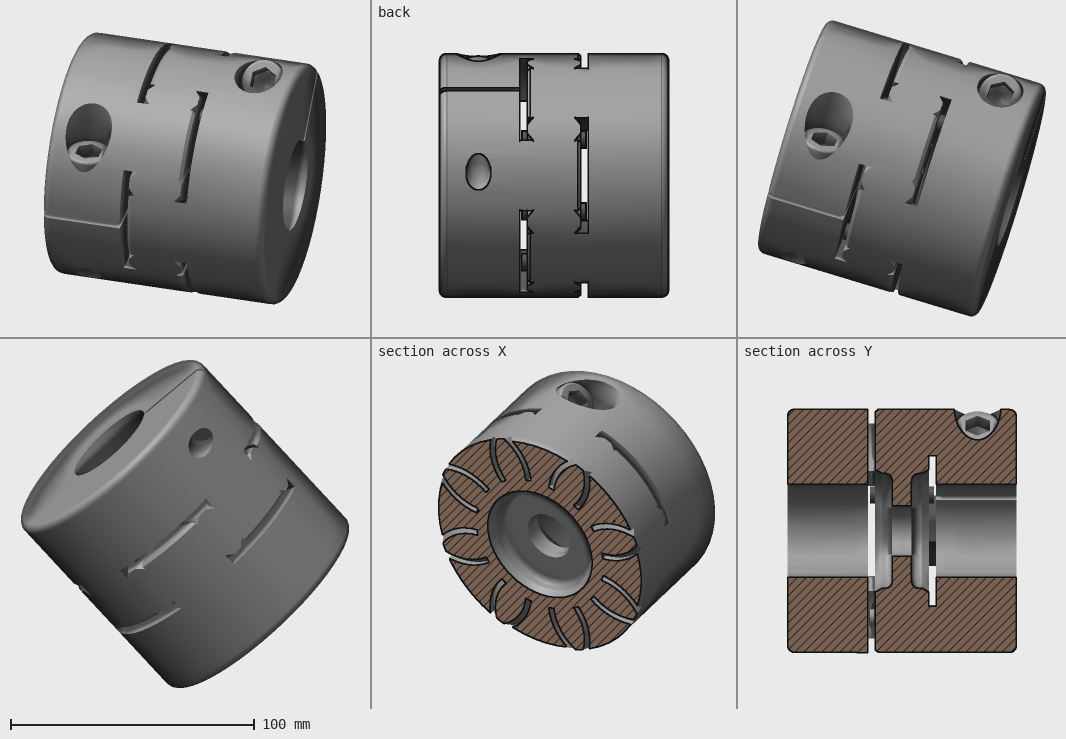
import cadquery as cq
import math


LENGTH = 94
OUTER_RADIUS = 50
HUB_BORE_DIA = 38
MIDDLE_BORE_DIA = 20.5
END_FILLET = 3

MIDDLE_HALF_WIDTH = 11
GAP_WIDTH = 3
GAP_CLEAR_RADIUS = 30.8
WINDOW_RADIUS = 24
WINDOW_PITCH_RADIUS = 40
WINDOW_COUNT = 4
NOTCH_SIZE = 2.4
RIM_CHAMFER_WIDTH = 1.3
RIM_CHAMFER_HEIGHT = 1

RECESS_DIA = 47
RECESS_DEPTH = 7
RECESS_FILLET = 3
RECESS_CHAMFER_WIDTH = 1.6
RECESS_CHAMFER_DEPTH = 2.8

PIN_DIA = 7
PIN_PITCH_RADIUS = 38.5
PIN_FIRST_ANGLE = 22.5
PIN_COUNT = 4
PIN_HEIGHT = 2.2

SLIT_WIDTH = 2
SCREW_X = -31
SCREW_Y = -36
SCREW_DIA = 12
SCREW_SHANK_LENGTH = 30
HEAD_DIA = 18
HEAD_HEIGHT = 12
HEAD_FILLET = 1.2
SEAT_Z = 13
COUNTERBORE_DIA = 19
CLEARANCE_DIA = 12.5
TAP_DRILL_DIA = 10.2
HEX_ACROSS_FLATS = 10
HEX_DEPTH = 6
DRILL_POINT_DEPTH = 2.4

HALF_LENGTH = LENGTH / 2
HUB_FACE_X = -(MIDDLE_HALF_WIDTH + GAP_WIDTH)
MIDDLE_FACE_X = -MIDDLE_HALF_WIDTH
WINDOW_STEP = 360 / WINDOW_COUNT
HALF_TURN_AXIS_ANGLE = 112.5


def x_cylinder(radius, x_start, x_end, y=0, z=0):
    """Cylinder along X between two X positions."""
    start = cq.Vector(x_start, y, z)
    return cq.Workplane(cq.Solid.makeCylinder(radius, x_end - x_start, start, cq.Vector(1, 0, 0)))


def z_cylinder(diameter, z_start, z_end):
    """Cylinder on the screw axis between two Z positions."""
    start = cq.Vector(SCREW_X, SCREW_Y, z_start)
    return cq.Workplane(cq.Solid.makeCylinder(diameter / 2, z_end - z_start, start))


def turned_about_x(profile):
    """Solid of revolution about X from a closed list of (x, radius) points."""
    return cq.Workplane("XY").polyline(profile).close().revolve(360, (0, 0, 0), (1, 0, 0))


def around_windows(first_angle, shape):
    """Union of the shape repeated at the four window centres."""
    copies = cq.Workplane()
    for index in range(WINDOW_COUNT):
        angle = first_angle + index * WINDOW_STEP
        placed = shape.translate((0, WINDOW_PITCH_RADIUS, 0)).rotate((0, 0, 0), (1, 0, 0), angle)
        copies = placed if index == 0 else copies.union(placed)
    return copies


def windows(first_angle, x_start, x_end):
    return around_windows(first_angle, x_cylinder(WINDOW_RADIUS, x_start, x_end))


def gap_cut():
    """Open space between hub and middle body; the jaws are what it leaves."""
    centre = x_cylinder(GAP_CLEAR_RADIUS, HUB_FACE_X, MIDDLE_FACE_X)
    return centre.union(windows(0, HUB_FACE_X, MIDDLE_FACE_X))


def face_relief_cut():
    """V notches along the window edges and the rim chamfer on the middle body face."""
    notch_floor_x = MIDDLE_FACE_X + NOTCH_SIZE
    notch_ring = turned_about_x([
        (MIDDLE_FACE_X, WINDOW_RADIUS - NOTCH_SIZE),
        (MIDDLE_FACE_X, WINDOW_RADIUS),
        (notch_floor_x, WINDOW_RADIUS),
    ])
    near_windows = windows(0, MIDDLE_FACE_X, notch_floor_x)
    far_windows = windows(WINDOW_STEP / 2, MIDDLE_FACE_X, notch_floor_x)
    near_notches = around_windows(0, notch_ring).intersect(far_windows)
    far_notches = around_windows(WINDOW_STEP / 2, notch_ring).intersect(near_windows)
    inner_core = x_cylinder(GAP_CLEAR_RADIUS, MIDDLE_FACE_X, notch_floor_x)

    rim_chamfer = turned_about_x([
        (MIDDLE_FACE_X, OUTER_RADIUS - RIM_CHAMFER_HEIGHT),
        (MIDDLE_FACE_X, OUTER_RADIUS),
        (MIDDLE_FACE_X + RIM_CHAMFER_WIDTH, OUTER_RADIUS),
    ]).intersect(near_windows).cut(far_windows)
    return near_notches.union(far_notches).cut(inner_core).union(rim_chamfer)


def recess_cut():
    """Recess with a rounded floor corner and a chamfered mouth."""
    radius = RECESS_DIA / 2
    floor_x = MIDDLE_FACE_X + RECESS_DEPTH
    pocket = x_cylinder(radius, MIDDLE_FACE_X, floor_x).faces(">X").edges().fillet(RECESS_FILLET)
    mouth = turned_about_x([
        (MIDDLE_FACE_X, 0),
        (MIDDLE_FACE_X, radius + RECESS_CHAMFER_WIDTH),
        (MIDDLE_FACE_X + RECESS_CHAMFER_DEPTH, radius),
        (MIDDLE_FACE_X + RECESS_CHAMFER_DEPTH, 0),
    ])
    return pocket.union(mouth)


def pins():
    step = 360 / PIN_COUNT
    pin_set = cq.Workplane()
    for index in range(PIN_COUNT):
        angle = math.radians(PIN_FIRST_ANGLE + index * step)
        y = PIN_PITCH_RADIUS * math.cos(angle)
        z = PIN_PITCH_RADIUS * math.sin(angle)
        root_x = MIDDLE_FACE_X + 2 * NOTCH_SIZE
        pin = x_cylinder(PIN_DIA / 2, MIDDLE_FACE_X - PIN_HEIGHT, root_x, y, z)
        pin_set = pin if index == 0 else pin_set.union(pin)
    return pin_set


def clamp_cut():
    """Slit, counterbore, clearance hole and tapped hole of the clamp."""
    slit = cq.Workplane().box(
        HUB_FACE_X + HALF_LENGTH, OUTER_RADIUS, SLIT_WIDTH, centered=(False, False, True)
    ).translate((-HALF_LENGTH, -OUTER_RADIUS, 0))
    counterbore = z_cylinder(COUNTERBORE_DIA, SEAT_Z, OUTER_RADIUS)
    clearance = z_cylinder(CLEARANCE_DIA, 0, SEAT_Z)
    tapped = z_cylinder(TAP_DRILL_DIA, -OUTER_RADIUS, 0)
    return slit.union(counterbore).union(clearance).union(tapped)


def clamp_screw():
    """Socket head cap screw with its head resting on the counterbore seat."""
    head_top = SEAT_Z + HEAD_HEIGHT
    head = z_cylinder(HEAD_DIA, SEAT_Z, head_top).faces(">Z").edges().fillet(HEAD_FILLET)
    shank = z_cylinder(SCREW_DIA, SEAT_Z - SCREW_SHANK_LENGTH, SEAT_Z)
    hex_across_corners = HEX_ACROSS_FLATS / math.cos(math.radians(30))
    socket = (
        cq.Workplane("XY")
        .polygon(6, hex_across_corners)
        .extrude(-HEX_DEPTH)
        .rotate((0, 0, 0), (0, 0, 1), 90)
        .translate((SCREW_X, SCREW_Y, head_top))
    )
    drill_point = cq.Workplane(cq.Solid.makeCone(
        HEX_ACROSS_FLATS / 2, 0, DRILL_POINT_DEPTH,
        cq.Vector(SCREW_X, SCREW_Y, head_top - HEX_DEPTH), cq.Vector(0, 0, -1),
    ))
    return head.union(shank).cut(socket).cut(drill_point)


def coupling_half():
    """Hub and the adjoining half of the middle body, from the -X end to the centre plane."""
    body = x_cylinder(OUTER_RADIUS, -HALF_LENGTH, 0).faces("<X").edges().fillet(END_FILLET)
    body = body.cut(x_cylinder(HUB_BORE_DIA / 2, -HALF_LENGTH, MIDDLE_FACE_X))
    body = body.cut(x_cylinder(MIDDLE_BORE_DIA / 2, MIDDLE_FACE_X, 0))
    body = body.cut(gap_cut()).cut(face_relief_cut()).cut(recess_cut()).union(pins())
    return body.cut(clamp_cut()).union(clamp_screw())


half = coupling_half()
axis_angle = math.radians(HALF_TURN_AXIS_ANGLE)
turn_axis = (0, math.cos(axis_angle), math.sin(axis_angle))
other_half = half.rotate((0, 0, 0), turn_axis, 180)
result = half.union(other_half).clean()